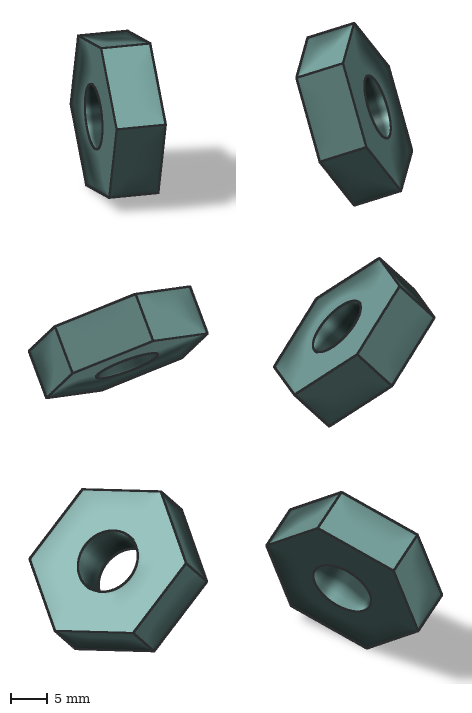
import cadquery as cq
import math

width = 23.55
thickness = 7.0
bore_diameter = 9.0
tilt = 11.5
side_count = 6

corner_diameter = width / math.cos(math.radians(tilt))

plate = (
    cq.Workplane("XZ")
    .transformed(rotate=(0, 0, tilt))
    .polygon(side_count, corner_diameter)
    .extrude(thickness / 2, both=True)
)

bore = cq.Workplane("XZ").circle(bore_diameter / 2).extrude(thickness / 2, both=True)

result = plate.cut(bore)